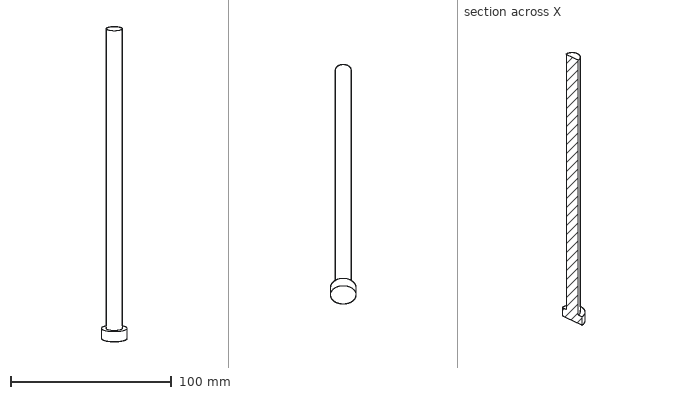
import cadquery as cq

total_length = 200.0
head_diameter = 16.0
head_height = 6.5
shank_diameter = 10.0

shank_length = total_length - head_height

head = cq.Workplane("XY").circle(head_diameter / 2).extrude(head_height)

result = head.faces(">Z").workplane().circle(shank_diameter / 2).extrude(shank_length)